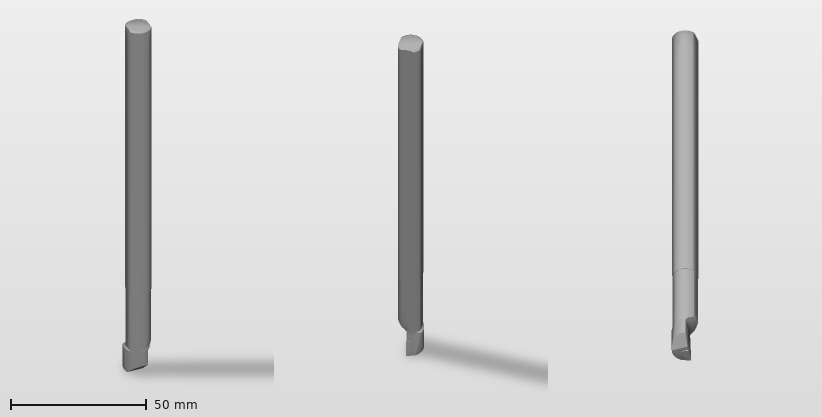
import cadquery as cq
import math

total_length = 152.4
overall_depth = 9.5
shank_radius = 4.9
width_across_flats = 8.4
flat_distance = width_across_flats / 2
shank_bottom = 35.7
end_chamfer_radial = 0.8
end_chamfer_height = 0.5

neck_radius = 4.7
head_radius = 5.8
head_center_x = -0.9
head_center_y = flat_distance + head_radius - overall_depth
head_bottom = 0.5
head_top = 11.3
shoulder_angle = 11.0
nose_cut_height = 3.8

tip_x = -6.2
rake_angle = 10.0
flank_relief_angle = 11.0
insert_relief_angle = 7.0
flank_lean = 0.17
flank_setback = 0.23
runout_start = 10.7
cutter_size = 30.5

insert_length = 5.6
insert_height = 6.4
insert_thickness = 2.5

rake_radians = math.radians(rake_angle)
rake_direction = (math.cos(rake_radians), math.sin(rake_radians), 0)
rake_inward = (math.sin(rake_radians), -math.cos(rake_radians), 0)


def flatted_bar(radius, bottom, top):
    """Round bar with flats on -X, -Y and +Y."""
    height = top - bottom
    stock = (
        cq.Workplane("XY")
        .box(flat_distance + radius, 2 * flat_distance, height, centered=(False, True, False))
        .translate((-flat_distance, 0, bottom))
    )
    return cq.Workplane("XY").workplane(offset=bottom).circle(radius).extrude(height).intersect(stock)


def make_shank():
    """Flatted shank with a conical chamfer on its top end."""
    envelope = (
        cq.Workplane("XY").workplane(offset=shank_bottom)
        .circle(shank_radius)
        .extrude(total_length - shank_bottom)
        .faces(">Z")
        .chamfer(end_chamfer_height, end_chamfer_radial)
    )
    return flatted_bar(shank_radius, shank_bottom, total_length).intersect(envelope)


def make_insert():
    """Positive insert: its sides taper inward below the rake face."""
    rake_plane = cq.Plane(origin=(tip_x, 0, 0), xDir=rake_direction, normal=rake_inward)
    outline = [
        (0, 0),
        (insert_length, 0),
        (insert_length, insert_height),
        (flank_lean * insert_height, insert_height),
    ]
    profile = cq.Workplane(rake_plane).polyline(outline).close()
    return profile.extrude(insert_thickness, taper=insert_relief_angle)


def flank_cutter():
    """Block outside the leaning flank of the head."""
    relief_slope = math.tan(math.radians(flank_relief_angle))
    plane = cq.Plane(
        origin=(tip_x + flank_setback, 0, 0),
        xDir=(-relief_slope, 1, 0),
        normal=(-1, -relief_slope, flank_lean),
    )
    return cq.Workplane(plane).rect(cutter_size, cutter_size).extrude(cutter_size)


def nose_cutter():
    """Triangular prism below the +X side of the head."""
    right = head_center_x + head_radius
    outline = [
        (right - nose_cut_height, head_bottom),
        (right, head_bottom),
        (right, head_bottom + nose_cut_height),
    ]
    return cq.Workplane("XZ").polyline(outline).close().extrude(cutter_size / 2, both=True)


def rake_cutter():
    """Clearance above the rake face, ending in a 45 degree runout."""
    plane = cq.Plane(
        origin=(tip_x, 0, 0),
        xDir=tuple(-component for component in rake_inward),
        normal=rake_direction,
    )
    outline = [
        (0, -cutter_size),
        (cutter_size, -cutter_size),
        (cutter_size, runout_start + cutter_size),
        (0, runout_start),
    ]
    return cq.Workplane(plane).polyline(outline).close().extrude(cutter_size, both=True)


def shoulder_stock():
    """Block filling all space below the sloping shoulder of the head."""
    shoulder_radians = math.radians(shoulder_angle)
    plane = cq.Plane(
        origin=(0, 0, head_top),
        xDir=(1, 0, 0),
        normal=(0, -math.sin(shoulder_radians), math.cos(shoulder_radians)),
    )
    return cq.Workplane(plane).rect(cutter_size, cutter_size).extrude(-cutter_size)


def make_head(insert_body):
    """Neck and cutting head with the pocket for the insert."""
    below_shoulder = shoulder_stock()
    blank = (
        cq.Workplane("XY").workplane(offset=head_bottom)
        .center(head_center_x, head_center_y)
        .circle(head_radius)
        .extrude(shank_bottom - head_bottom)
    )
    head = blank.intersect(below_shoulder).cut(flank_cutter()).cut(nose_cutter())
    neck = flatted_bar(neck_radius, head_bottom, shank_bottom).cut(below_shoulder)
    return head.union(neck).cut(rake_cutter()).cut(insert_body)


shank = make_shank()
insert = make_insert()
head = make_head(insert)

result = cq.Compound.makeCompound([shank.val(), *head.vals(), insert.val()])